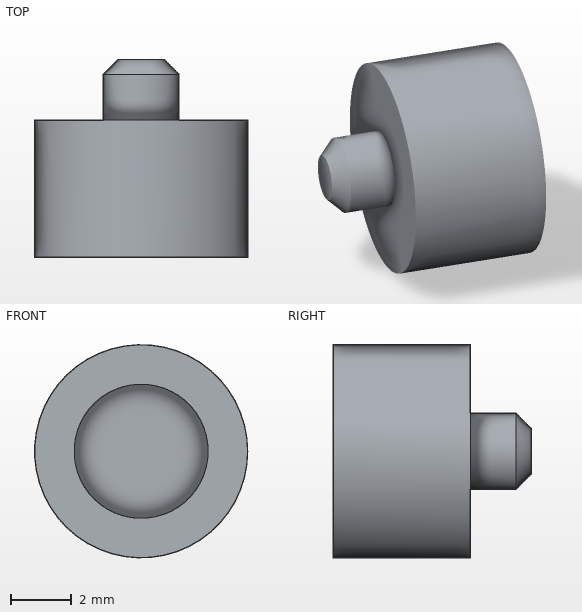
import cadquery as cq

body_diameter = 7.0
body_length = 4.5
recess_diameter = 4.4
recess_depth = 1.5
pin_diameter = 2.5
pin_length = 2.0
pin_chamfer = 0.5


def cylinder_along_y(diameter, length, start_y):
    """Cylinder on the Y axis running from start_y toward +Y."""
    base = cq.Workplane("XZ", origin=(0, start_y, 0))
    return base.circle(diameter / 2).extrude(-length)


def make_body():
    """Round body with a blind recess in its -Y face."""
    body = cylinder_along_y(body_diameter, body_length, 0)
    recess = cylinder_along_y(recess_diameter, recess_depth, 0)
    return body.cut(recess)


def make_pin():
    """Pin on the +Y face of the body, chamfered at its free end."""
    pin = cylinder_along_y(pin_diameter, pin_length, body_length)
    return pin.faces(">Y").chamfer(pin_chamfer)


result = make_body().union(make_pin())